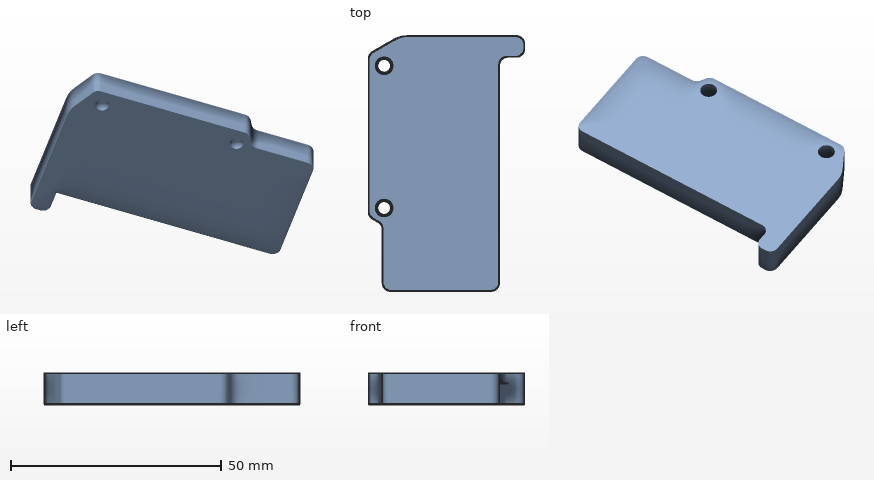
import cadquery as cq
import math

overall_width = 37.04
overall_length = 60.64
thickness = 7.5
bottom_chamfer = 0.2

tab_reach = 6.0
tab_depth = 5.0

slope_angle = math.radians(30)
top_slope_run = 7.55
step_width = 3.3
left_wall_end = 42.9

corner_radius = 2.0
top_slope_radius = 7

hole_diameter = 3.2
counterbore_diameter = 4.0
counterbore_depth = 5.0
hole_inset = 3.7
first_hole_from_top = 7.1
hole_spacing = 33.8

web_radius = corner_radius
web_height = 2.5
web_chamfer = 0.1
web_overlap = 0.4

selection_reach = 0.1

body_right = overall_width - tab_reach
tab_bottom = overall_length - tab_depth
top_slope_drop = top_slope_run * math.tan(slope_angle)
step_drop = step_width * math.tan(slope_angle)
step_top = overall_length - left_wall_end


def vertical_edge_at(x, y):
    """Selector for the vertical edge of the plate standing at (x, y)."""
    return cq.selectors.BoxSelector(
        (x - selection_reach, y - selection_reach, 0),
        (x + selection_reach, y + selection_reach, thickness),
    )


def make_plate():
    """Plate with rounded outline corners; the corner under the tab stays sharp."""
    top_slope_corner = (top_slope_run, overall_length)
    inner_corner = (body_right, tab_bottom)
    outline = [
        (step_width, 0),
        (body_right, 0),
        inner_corner,
        (overall_width, tab_bottom),
        (overall_width, overall_length),
        top_slope_corner,
        (0, overall_length - top_slope_drop),
        (0, step_top),
        (step_width, step_top - step_drop),
    ]
    plate = cq.Workplane("XY").polyline(outline).close().extrude(thickness)
    for corner in outline:
        if corner == inner_corner:
            continue
        radius = top_slope_radius if corner == top_slope_corner else corner_radius
        plate = plate.edges(vertical_edge_at(*corner)).fillet(radius)
    return plate.faces("<Z").edges().chamfer(bottom_chamfer)


def make_corner_web():
    """Concave fillet under the tab, its underside rising at 45 degrees away from the tab.

    The web reaches into the plate and the tab, which makes its underside edge run on
    smoothly past both ends of the concave arc, so the chamfer fades into the walls.
    """
    near_end = web_overlap
    far_end = -web_radius - web_overlap
    web_side = web_radius + web_overlap
    web = (
        cq.Workplane("XY", origin=(body_right, tab_bottom, thickness - web_height - web_overlap))
        .moveTo(-web_overlap, near_end)
        .lineTo(-web_overlap, far_end)
        .lineTo(0, far_end)
        .lineTo(0, -web_radius)
        .radiusArc((web_radius, 0), web_radius)
        .lineTo(web_side, 0)
        .lineTo(web_side, near_end)
        .close()
        .extrude(web_height + web_overlap)
    )
    underside_wedge = (
        cq.Workplane("YZ", origin=(body_right - web_overlap, tab_bottom, thickness - web_height))
        .moveTo(near_end, -near_end)
        .lineTo(far_end, -near_end)
        .lineTo(far_end, -far_end)
        .close()
        .extrude(web_overlap + web_side)
    )
    web = web.cut(underside_wedge)
    underside = web.faces(cq.selectors.DirectionMinMaxSelector(cq.Vector(0, -1, -1), True))
    return underside.edges("%ELLIPSE").chamfer(web_chamfer)


def cut_screw_holes(plate):
    """Through holes counterbored from the top face."""
    first_hole_y = overall_length - first_hole_from_top
    centers = [(hole_inset, first_hole_y), (hole_inset, first_hole_y - hole_spacing)]
    return (
        plate.faces(">Z")
        .workplane(origin=(0, 0, thickness))
        .pushPoints(centers)
        .cboreHole(hole_diameter, counterbore_diameter, counterbore_depth)
    )


result = cut_screw_holes(make_plate().union(make_corner_web()))